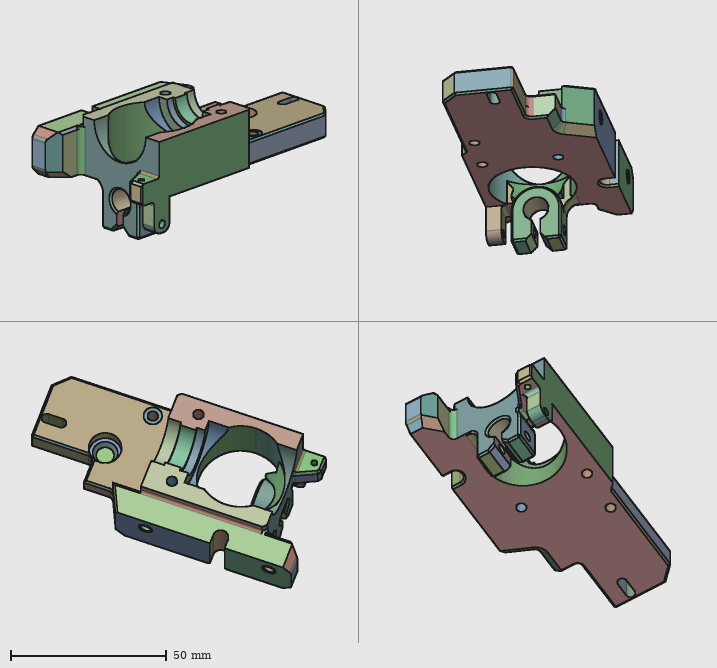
import cadquery as cq
import math


ledge_top = -3.5
plate_top = -11.5
base_bottom = -20.0
leg_bottom = -36.1
tab_bottom = -31.5

edge_break = 0.7
overlap = 1.0

half_width = 17.6
block_front = -15.0
block_rear = 27.8
block_corner = 1.2
opening_radius = 14.2

bore_steps = [(8.0, block_rear), (7.0, 23.4), (8.0, 18.0), (11.5, 15.1)]

ledge_left = -27.4
ledge_front = -27.3
ledge_rear_outer = 33.0
ledge_rear_inner = 37.5
ledge_corner = 3.9
big_chamfer = 2.9
inner_round = 1.9
bevel_blend = 1.9
groove_radius = 1.0

plate_rear = 68.8
plate_left = -8.2
plate_right = 16.1
plate_corner = 5.0
step_rear = 47.4
step_round = 1.9

leg_half_width = 8.3
leg_rear = -5.0
leg_hole_radius = 4.1
leg_hole_z = -25.1
leg_slot_width = 2.9
leg_screw_y = -10.3
leg_screw_z = -31.1
leg_tip_chamfer = 2.1
web_radius = 4.2
small_web_radius = 1.2

cone_top_z = -11.5
cone_slope = 1.8
cone_side_reach = 10.5
cone_side_rear = -9.2

shelf_top = -12.5
shelf_front = -23.1
shelf_left_wall = 8.1
shelf_left_front = 11.8
shelf_break = 0.9
shelf_right_break = 0.5
tab_left = 12.5
tab_front = -17.3
tab_rear = -10.2
tab_end_round = 2.9
tab_root_round = 1.3
tab_hole_y = -13.7
tab_hole_z = -28.5
tab_hole_radius = 1.3

screw_radius = 1.68
seat_depth = 0.2
clamp_screw_x = 12.5
clamp_screw_y = 19.0
plate_screw_x = 11.8
plate_screw_y = 34.4
plate_seat_radius = 3.0
shelf_hole_radius = 1.0
shelf_hole_x = 14.4
shelf_hole_y = -20.0
ledge_hole_ys = (-19.5, 22.8)
ledge_hole_z = -9.1
ledge_hole_depth = 6.7
ledge_seat_radius = 2.3
drill_point_angle = 118

slot_x = -0.7
slot_y = 63.7
slot_length = 8.2
slot_width = 3.2
notch_y = -1.9
notch_width = 5.0
notch_end = -21.7
pocket_x = -4.0
pocket_y = 45.0
pocket_radius = 5.3
pocket_depth = 4.2
taper_top_radius = 4.0
taper_bottom_radius = 2.9
taper_depth = 1.9


def box(x0, x1, y0, y1, z0, z1):
    """Block between two opposite corners."""
    return cq.Workplane("XY").box(x1 - x0, y1 - y0, z1 - z0, centered=False).translate((x0, y0, z0))


def prism(points, z0, z1):
    """Vertical prism over an XY outline."""
    return cq.Workplane("XY").workplane(offset=z0).polyline(points).close().extrude(z1 - z0)


def x_cylinder(y, z, radius, x0, x1):
    return cq.Workplane("YZ", origin=(x0, y, z)).circle(radius).extrude(x1 - x0)


def y_cylinder(x, z, radius, y0, y1):
    return cq.Workplane("XZ", origin=(x, y0, z)).circle(radius).extrude(y0 - y1)


def z_cylinder(x, y, radius, z0, z1):
    return cq.Workplane("XY", origin=(x, y, z0)).circle(radius).extrude(z1 - z0)


def cone(start, direction, start_radius, end_radius, length):
    solid = cq.Solid.makeCone(start_radius, end_radius, length, cq.Vector(*start), cq.Vector(*direction))
    return cq.Workplane(solid)


def edges_in(x=(-96.1, 96.1), y=(-100, 100), z=(-96.1, 96.1)):
    """Selector for edges centred within the given ranges; a single number means that exact place."""
    margin = 0.05
    ranges = [r if isinstance(r, tuple) else (r, r) for r in (x, y, z)]
    low = tuple(r[0] - margin for r in ranges)
    high = tuple(r[1] + margin for r in ranges)
    return cq.selectors.BoxSelector(low, high)


def make_base():
    """Lower slab: rear plate, step and the lower half of the ledge."""
    outline = [
        (ledge_left, ledge_front),
        (-half_width, ledge_front),
        (-half_width, block_front),
        (half_width, block_front),
        (half_width, block_rear - block_corner),
        (plate_right, block_rear - block_corner + half_width - plate_right),
        (plate_right, plate_rear - plate_corner),
        (plate_right - plate_corner, plate_rear),
        (plate_left, plate_rear),
        (plate_left, step_rear),
        (-half_width, step_rear),
        (-half_width, ledge_rear_inner),
        (ledge_left, ledge_rear_outer),
    ]
    base = prism(outline, base_bottom, plate_top)
    base = base.edges("|Z").edges(edges_in(x=plate_left, y=step_rear)).fillet(step_round)
    base = base.edges("|Z").edges(edges_in(x=-half_width, y=ledge_rear_inner)).fillet(inner_round)

    slanted = edges_in(x=(ledge_left + 1, -half_width), y=(ledge_rear_outer, step_rear - 1))
    base = base.edges("<Z").edges(slanted).chamfer(big_chamfer)

    base = base.edges("|Z").edges(edges_in(x=plate_left, y=plate_rear)).fillet(edge_break)
    behind_ledge = ledge_rear_inner + inner_round
    base = base.edges(">Z").edges(edges_in(y=(behind_ledge, plate_rear))).chamfer(edge_break)
    beside_step = edges_in(x=(plate_left - step_round, plate_right), y=(behind_ledge, plate_rear))
    return base.edges("<Z").edges(beside_step).chamfer(edge_break)


def make_ledge():
    """Upper half of the ledge, bevelled along its slanted end and its inner edge."""
    outline = [
        (ledge_left, ledge_front),
        (-half_width, ledge_front),
        (-half_width, ledge_rear_inner),
        (ledge_left, ledge_rear_outer),
    ]
    ledge = prism(outline, plate_top - overlap, ledge_top)
    ledge = ledge.edges(">Z").edges(edges_in(y=(ledge_rear_outer, ledge_rear_inner))).chamfer(edge_break)
    return ledge.edges(">Z and >X").chamfer(groove_radius)


def bevel_ledge_front(body):
    """Bevels around the front end of the ledge."""
    front = edges_in(y=ledge_front)
    body = body.edges("|X").edges(front).chamfer(big_chamfer)
    body = body.edges("|X").edges(front).fillet(bevel_blend)
    corner = prism([
        (-half_width, ledge_front),
        (-half_width, ledge_front + ledge_corner),
        (-half_width - ledge_corner, ledge_front),
    ], base_bottom, ledge_top)
    body = body.cut(corner)
    lower = edges_in(x=(-half_width - ledge_corner, -half_width),
                     y=(ledge_front, ledge_front + ledge_corner))
    return body.edges("<Z").edges("not |X").edges(lower).chamfer(big_chamfer)


def make_block():
    """Clamp block with its two bevelled corners and the filling beside the ledge."""
    upper = box(-half_width, half_width, block_front, block_rear, ledge_top, 0)
    upper = upper.edges("|Z").edges("<X and <Y").chamfer(block_corner)
    lower = box(-half_width - groove_radius, half_width, block_front, block_rear, plate_top, ledge_top)
    return upper.union(lower).edges("|Z").edges(">X and >Y").chamfer(block_corner)


def make_groove():
    """Concave round where the ledge top runs into the clamp block."""
    edge_x = -half_width - groove_radius
    edge_z = ledge_top + groove_radius
    bar = box(edge_x, -half_width, block_front + block_corner, block_rear, ledge_top, edge_z)
    return bar.cut(y_cylinder(edge_x, edge_z, groove_radius, block_front, block_rear))


def make_inner_corner():
    """Upright concave round between the ledge and the front face."""
    edge_x = -half_width + inner_round
    edge_y = block_front - inner_round
    bar = box(-half_width, edge_x, edge_y, block_front, base_bottom, ledge_top)
    return bar.cut(z_cylinder(edge_x, edge_y, inner_round, base_bottom, ledge_top))


def cut_bore(body):
    """Stepped half bore along the top of the block."""
    fronts = [rear for radius, rear in bore_steps[1:]] + [block_front]
    for (radius, rear), front in zip(bore_steps, fronts):
        body = body.cut(y_cylinder(0, 0, radius, front, rear))
    return body


def make_left_web(rear):
    """Large round filling between the left side of the leg and the block underside."""
    centre_x = -leg_half_width - web_radius
    centre_z = base_bottom - web_radius
    web = box(centre_x, 0, block_front, rear, centre_z, base_bottom + overlap)
    web = web.cut(y_cylinder(centre_x, centre_z, web_radius, block_front, rear))
    return web.union(box(-leg_half_width, 0, block_front, rear, leg_hole_z, centre_z))


def make_right_web(rear):
    """Small round filling between the round top of the leg and the block underside."""
    centre_z = base_bottom - small_web_radius
    reach = leg_half_width + small_web_radius
    rise = centre_z - leg_hole_z
    centre_x = math.sqrt(reach**2 - rise**2)
    tangent_z = leg_hole_z + rise * leg_half_width / reach
    web = box(0, centre_x, block_front, rear, tangent_z, base_bottom + overlap)
    return web.cut(y_cylinder(centre_x, centre_z, small_web_radius, block_front, rear))


def cut_leg_slot(body):
    """Clamping slot with a bevelled mouth."""
    half = leg_slot_width / 2
    slot = (
        cq.Workplane("XZ", origin=(0, block_front, 0))
        .polyline([
            (-half, leg_hole_z),
            (-half, leg_bottom + leg_tip_chamfer),
            (-half - leg_tip_chamfer, leg_bottom),
            (half + leg_tip_chamfer, leg_bottom),
            (half, leg_bottom + leg_tip_chamfer),
            (half, leg_hole_z),
        ])
        .close()
        .extrude(block_front - leg_rear)
    )
    return body.cut(slot)


def make_leg():
    """Round-topped leg with its webs, bevelled along the front and rear outlines."""
    leg = box(-leg_half_width, leg_half_width, block_front, leg_rear, leg_bottom, leg_hole_z)
    leg = leg.edges("|Y and <Z").chamfer(edge_break)
    leg = leg.union(y_cylinder(0, leg_hole_z, leg_half_width, block_front, leg_rear))
    leg = leg.edges(">Y").chamfer(edge_break)
    webs = make_left_web(leg_rear).union(make_right_web(leg_rear))
    webs = webs.cut(z_cylinder(0, 0, opening_radius, leg_bottom, 0))
    leg = cut_leg_slot(leg.union(webs))

    outer = edges_in(x=(-leg_half_width - web_radius + overlap, leg_half_width),
                     y=block_front, z=(leg_bottom, base_bottom))
    slot = edges_in(x=(-leg_slot_width, leg_slot_width),
                    y=block_front, z=(leg_bottom + leg_tip_chamfer, base_bottom))
    return leg.edges(outer - slot).chamfer(edge_break)


def make_cone():
    """Conical floor joining the opening wall to the round top of the leg."""
    depth = cone_top_z - leg_hole_z
    ring = (
        cq.Workplane("XZ")
        .polyline([
            (opening_radius, cone_top_z),
            (opening_radius + overlap, cone_top_z),
            (opening_radius + overlap, leg_hole_z),
            (opening_radius - depth / cone_slope, leg_hole_z),
        ])
        .close()
        .revolve(360, (0, 0), (0, 1))
    )
    middle = box(-leg_half_width, leg_half_width, block_front, leg_rear - edge_break, base_bottom, cone_top_z)
    sides = box(-cone_side_reach, cone_side_reach, block_front, cone_side_rear, base_bottom, cone_top_z)
    webs = make_left_web(cone_side_rear).union(make_right_web(cone_side_rear))
    return ring.intersect(middle.union(sides).union(webs))


def cut_leg_holes(body):
    """Rod hole with a front lead-in and the clamping screw hole."""
    body = body.cut(y_cylinder(0, leg_hole_z, leg_hole_radius, block_front, leg_rear))
    rim = cone((0, block_front, leg_hole_z), (0, 1, 0),
               leg_hole_radius + edge_break, leg_hole_radius, edge_break)
    body = body.cut(rim)
    return body.cut(x_cylinder(leg_screw_y, leg_screw_z, screw_radius, -leg_half_width, leg_half_width))


def make_shelf():
    """Tapered ear in front of the block, bevelled on all free edges."""
    root = block_front + 2 * overlap
    taper = (shelf_left_front - shelf_left_wall) / (block_front - shelf_front)
    outline = [
        (shelf_left_wall - taper * (root - block_front), root),
        (shelf_left_front, shelf_front),
        (half_width, shelf_front),
        (half_width, root),
    ]
    shelf = prism(outline, base_bottom, shelf_top)
    shelf = shelf.edges("|Z").edges(edges_in(x=shelf_left_front, y=shelf_front)).chamfer(shelf_break)
    shelf = shelf.edges("|Z").edges(edges_in(x=half_width, y=shelf_front)).chamfer(shelf_right_break)
    free = edges_in(x=(0, half_width - shelf_right_break), y=(shelf_front, root - overlap))
    return shelf.edges("#Z").edges(free).chamfer(shelf_break)


def make_tab():
    """Drilled tab hanging below the shelf."""
    tab = box(tab_left, half_width, tab_front, tab_rear, tab_bottom, base_bottom + overlap)
    tab = tab.edges("|X and <Z").fillet(tab_end_round)
    return tab.cut(x_cylinder(tab_hole_y, tab_hole_z, tab_hole_radius, tab_left, half_width))


def round_shelf_roots(body):
    """Concave rounds where the shelf meets the block and the tab meets the shelf."""
    roots = edges_in(x=(shelf_left_wall - shelf_break, half_width - shelf_break), y=block_front,
                     z=(base_bottom + 2 * shelf_break, shelf_top))
    body = body.edges(roots).fillet(shelf_break)
    under = edges_in(x=(tab_left, half_width - overlap), y=(tab_front, tab_rear - overlap), z=base_bottom)
    return body.edges(under).fillet(tab_root_round)


def cut_slots(body):
    """Adjusting slot in the plate and the open notch in the ledge."""
    slot = (
        cq.Workplane("XY", origin=(slot_x, slot_y, base_bottom))
        .slot2D(slot_length, slot_width, 90)
        .extrude(plate_top - base_bottom)
    )
    radius = notch_width / 2
    notch = box(ledge_left, notch_end - radius, notch_y - radius, notch_y + radius, base_bottom, ledge_top)
    notch = notch.union(z_cylinder(notch_end - radius, notch_y, radius, base_bottom, ledge_top))
    body = body.cut(slot).cut(notch)
    rim = edges_in(x=(ledge_left + overlap, notch_end), y=(notch_y - radius, notch_y + radius), z=base_bottom)
    return body.edges(rim).chamfer(edge_break)


def cut_vertical_holes(body):
    """Clamp screw holes, plate screw hole with a shallow seat, and shelf hole."""
    for x in (-clamp_screw_x, clamp_screw_x):
        body = body.cut(z_cylinder(x, clamp_screw_y, screw_radius, base_bottom, 0))
    body = body.cut(z_cylinder(plate_screw_x, plate_screw_y, screw_radius, base_bottom, plate_top))
    body = body.cut(z_cylinder(plate_screw_x, plate_screw_y, plate_seat_radius,
                               plate_top - seat_depth, plate_top))
    return body.cut(z_cylinder(shelf_hole_x, shelf_hole_y, shelf_hole_radius, tab_bottom, shelf_top))


def cut_pocket(body):
    """Blind round pocket with a tapered centre."""
    floor = plate_top - pocket_depth
    body = body.cut(z_cylinder(pocket_x, pocket_y, pocket_radius, floor, plate_top))
    taper = cone((pocket_x, pocket_y, floor), (0, 0, -1), taper_top_radius, taper_bottom_radius, taper_depth)
    return body.cut(taper)


def cut_ledge_holes(body):
    """Blind drilled holes with shallow seats in the outer ledge face."""
    tip = screw_radius / math.tan(math.radians(drill_point_angle / 2))
    bottom = ledge_left + ledge_hole_depth
    for y in ledge_hole_ys:
        body = body.cut(x_cylinder(y, ledge_hole_z, ledge_seat_radius, ledge_left, ledge_left + seat_depth))
        body = body.cut(x_cylinder(y, ledge_hole_z, screw_radius, ledge_left, bottom))
        body = body.cut(cone((bottom, y, ledge_hole_z), (1, 0, 0), screw_radius, 0, tip))
    return body


result = bevel_ledge_front(make_base().union(make_ledge()))
result = result.union(make_block()).union(make_groove()).union(make_inner_corner())
result = result.cut(z_cylinder(0, 0, opening_radius, leg_bottom, 0))
result = result.union(make_cone()).union(make_leg())
result = cut_leg_holes(result)
result = round_shelf_roots(result.union(make_shelf()).union(make_tab()))
result = cut_bore(result)
result = cut_slots(result)
result = cut_vertical_holes(result)
result = cut_pocket(result)
result = cut_ledge_holes(result)